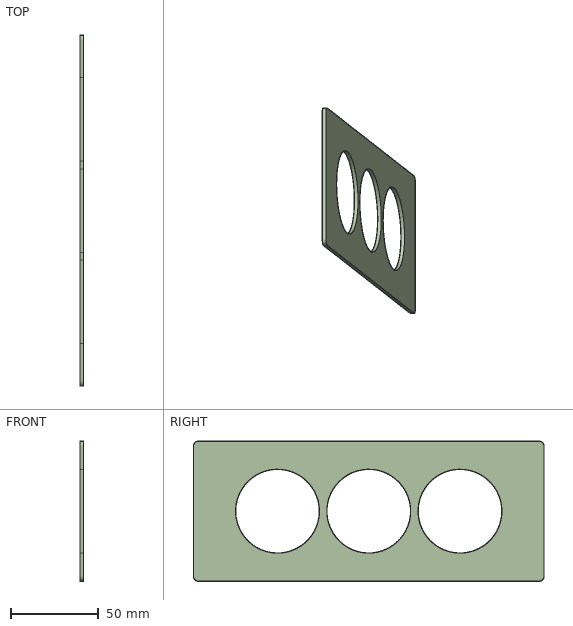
import cadquery as cq

plate_length = 200.0
plate_height = 80.0
plate_thickness = 2.2
corner_radius = 3.0

opening_count = 3
opening_diameter = 47.5
opening_pitch = 52.0


def make_plate():
    """Rectangular plate with rounded corners, centred on the origin."""
    plate = cq.Workplane("YZ").rect(plate_length, plate_height)
    plate = plate.extrude(plate_thickness / 2, both=True)
    return plate.edges("|X").fillet(corner_radius)


def make_openings():
    """Cylinders that cut the centred row of openings through the plate."""
    row = cq.Workplane("YZ").rarray(opening_pitch, plate_height, opening_count, 1)
    return row.circle(opening_diameter / 2).extrude(plate_thickness, both=True)


result = make_plate().cut(make_openings())